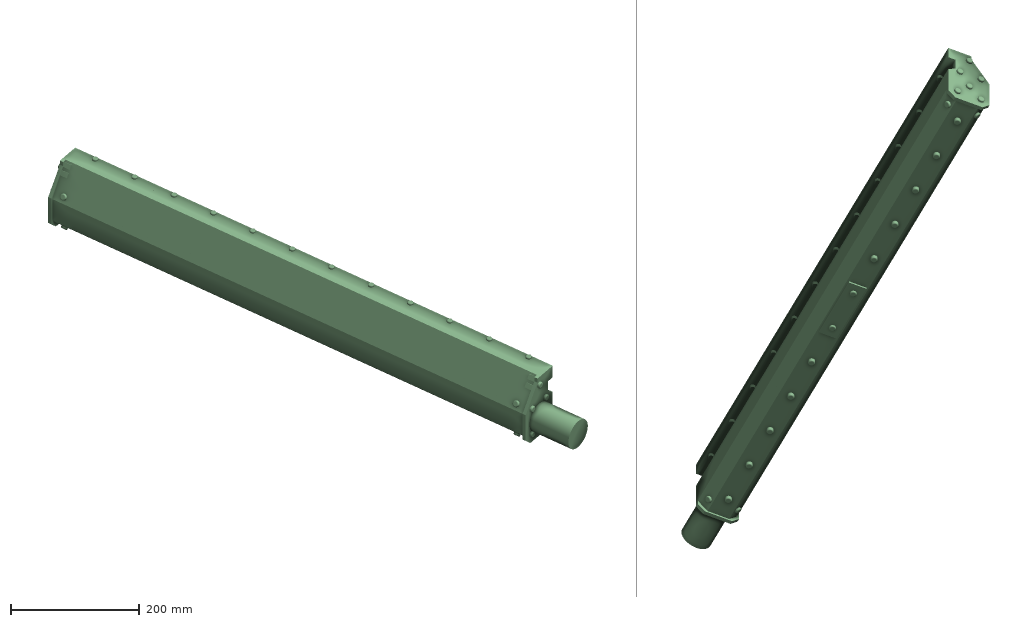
import cadquery as cq
import math

total_length = 1002.0
head_height = 4.0
plate_thickness = 6.0
tube_length = 75.0
tube_diameter = 51.0
axis_z = 41.0

plate_depth = 71.0
total_height = 122.0
top_z = 119.0
plate_bottom_z = 3.0
bevel_width = 12.0
slope_bottom_z = 66.0
slope_top_z = 111.0
top_depth = 40.0
lip_bottom_z = 96.0
groove_depth = 12.0
groove_wall_z = 74.0
groove_edge_z = 67.0

front_inset = 3.0
bottom_inset = 3.0
housing_top_depth = 33.0
housing_ridge_z = 63.0
front_face_bottom_z = 21.0
front_step_depth = 2.0
housing_bevel_z = 18.0

head_diameter = 11.0
head_rounding = 2.0
lip_head_diameter = 10.0
lip_nut_height = 6.0
lip_screw_inset = 5.5
row_count = 12
row_pitch = 76.0
end_screw_offset = 20.0
groove_screw_y = 16.0
end_screw_low_z = 19.0
end_screw_mid_z = 69.0
end_screw_top_z = 104.0
face_screw_inset = 18.0
face_screw_z = 72.0

pad_length = 110.0
pad_width = 30.0
strips_per_end = 2
strip_length = 13.0
strip_height = 7.0
strip_gap = 5.0
strip_rise = 2.0
strip_top_z = 116.0

overlap = 2.0

back_y = plate_depth / 2
front_y = -back_y
right_plate_x = total_length - tube_length - plate_thickness
housing_start_x = head_height + plate_thickness
housing_end_x = right_plate_x
housing_length = housing_end_x - housing_start_x
middle_x = housing_start_x + housing_length / 2
housing_front_y = front_y + front_inset
housing_bottom_z = plate_bottom_z + bottom_inset
housing_top_y = back_y - housing_top_depth
slope_angle = math.atan2(housing_top_y - housing_front_y, top_z - housing_ridge_z)
slope_normal = (0, -math.cos(slope_angle), math.sin(slope_angle))
groove_y = back_y - groove_depth


def slope_y(z):
    """Y of the sloped housing face at height z."""
    return housing_front_y + (z - housing_ridge_z) * math.tan(slope_angle)


def extrude_along_x(points, start_x, length):
    return cq.Workplane("YZ", origin=(start_x, 0, 0)).polyline(points).close().extrude(length)


def screw_head(base, direction, diameter=head_diameter, height=head_height):
    """Button head standing on base, with its shank end sunk slightly into the part."""
    plane = cq.Plane(origin=base, normal=direction)
    outer_rim = cq.selectors.DirectionMinMaxSelector(cq.Vector(*direction), True)
    head = cq.Workplane(plane).circle(diameter / 2).extrude(height)
    head = head.edges(outer_rim).fillet(head_rounding)
    shank = cq.Workplane(plane).circle(diameter / 4).extrude(-overlap)
    return head.union(shank)


groove_points = [
    (back_y, groove_edge_z),
    (groove_y, groove_wall_z),
    (groove_y, lip_bottom_z),
    (back_y, lip_bottom_z),
    (back_y, top_z),
]

plate_bevel_z = plate_bottom_z + bevel_width
plate_points = [
    (back_y - top_depth, top_z),
    (back_y - top_depth, slope_top_z),
    (front_y, slope_bottom_z),
    (front_y, plate_bevel_z),
    (front_y + bevel_width, plate_bottom_z),
    (back_y - bevel_width, plate_bottom_z),
    (back_y, plate_bevel_z),
] + groove_points

bevel_top_y = housing_front_y + front_step_depth
bottom_half_width = -(bevel_top_y + housing_bevel_z - housing_bottom_z)
housing_points = [
    (housing_top_y, top_z),
    (housing_front_y, housing_ridge_z),
    (housing_front_y, front_face_bottom_z),
    (bevel_top_y, front_face_bottom_z),
    (bevel_top_y, housing_bevel_z),
    (-bottom_half_width, housing_bottom_z),
    (bottom_half_width, housing_bottom_z),
    (back_y, housing_bottom_z + back_y - bottom_half_width),
] + groove_points

housing = extrude_along_x(housing_points, housing_start_x, housing_length)


def slope_strip(start_x, upper_z):
    """Raised strip on the sloped face, starting at start_x and reaching down from upper_z."""
    lower_z = upper_z - strip_height
    rise_y = strip_rise * slope_normal[1]
    rise_z = strip_rise * slope_normal[2]
    section = [
        (slope_y(upper_z) - rise_y, upper_z - rise_z),
        (slope_y(upper_z) + rise_y, upper_z + rise_z),
        (slope_y(lower_z) + rise_y, lower_z + rise_z),
        (slope_y(lower_z) - rise_y, lower_z - rise_z),
    ]
    return extrude_along_x(section, start_x, strip_length)


for strip_x in (housing_start_x, housing_end_x - strip_length):
    for strip_row in range(strips_per_end):
        upper_z = strip_top_z - strip_row * (strip_height + strip_gap)
        housing = housing.union(slope_strip(strip_x, upper_z))

left_plate = extrude_along_x(plate_points, head_height, plate_thickness)
right_plate = extrude_along_x(plate_points, right_plate_x, plate_thickness)
tube = cq.Workplane("YZ", origin=(right_plate_x, 0, axis_z)).circle(tube_diameter / 2)
tube = tube.extrude(plate_thickness + tube_length)
result = housing.union(left_plate).union(right_plate).union(tube)

pad = cq.Workplane("XY", origin=(middle_x, 0, plate_bottom_z)).rect(pad_length, pad_width)
result = result.union(pad.extrude(bottom_inset + overlap))

lip_screw_y = back_y - lip_screw_inset
for index in range(row_count):
    row_x = middle_x + (index - (row_count - 1) / 2) * row_pitch
    lip_head = screw_head((row_x, lip_screw_y, top_z), (0, 0, 1), lip_head_diameter, total_height - top_z)
    result = result.union(lip_head)
    nut = cq.Workplane("XY", origin=(row_x, lip_screw_y, lip_bottom_z - lip_nut_height))
    result = result.union(nut.circle(lip_head_diameter / 2).extrude(lip_nut_height + overlap))
    bottom_seat = (row_x, 0, housing_bottom_z)
    result = result.union(screw_head(bottom_seat, (0, 0, -1), height=housing_bottom_z))

end_screws = [
    (0, end_screw_top_z),
    (-end_screw_offset, end_screw_mid_z),
    (groove_screw_y, end_screw_mid_z),
    (-end_screw_offset, end_screw_low_z),
    (end_screw_offset, end_screw_low_z),
]
for screw_y, screw_z in end_screws:
    result = result.union(screw_head((head_height, screw_y, screw_z), (-1, 0, 0)))
    result = result.union(screw_head((right_plate_x + plate_thickness, screw_y, screw_z), (1, 0, 0)))
result = result.union(screw_head((head_height, 0, axis_z), (-1, 0, 0)))

bevel_middle_y = (bevel_top_y - bottom_half_width) / 2
bevel_middle_z = (housing_bevel_z + housing_bottom_z) / 2
for screw_x in (housing_start_x + face_screw_inset, housing_end_x - face_screw_inset):
    result = result.union(screw_head((screw_x, slope_y(face_screw_z), face_screw_z), slope_normal))
    bevel_seat = (screw_x, bevel_middle_y, bevel_middle_z)
    bevel_head = screw_head(bevel_seat, (0, -1, -1))
    result = result.union(bevel_head)
    result = result.union(bevel_head.mirror("XZ"))